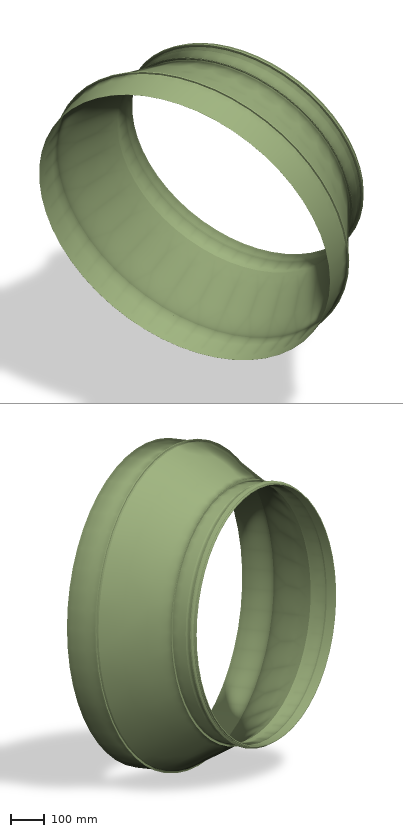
import cadquery as cq

total_length = 397.0
sheet = 0.6

wide_outer = 1001.0
cone_wide_rim = 1012.0
wide_fold_outer = 1015.0
wide_joint_y = 105.0
wide_fold_length = 3.0

wide_stub_length = 7.0
narrow_stub_length = 6.0

narrow_outer = 799.0
cone_narrow_rim = 809.0
collar_narrow_rim = 813.0
narrow_joint_y = 313.0
seat_outer = 795.0
step_start_y = 359.0
step_end_y = 365.0
narrow_fold_length = 6.0

seal_shoulder = 802.0
seal_lip = 813.0
seal_length = 17.0
seal_lip_width = 4.0
seal_shoulder_length = 3.0


def bore_of(outer_diameter):
    """Inner diameter of a sheet-metal tube."""
    return outer_diameter - 2 * sheet


def ring(points):
    """Solid of revolution around Y from a closed profile of (diameter, Y) points."""
    outline = [(diameter / 2, y) for diameter, y in points]
    return cq.Workplane("XY").polyline(outline).close().revolve(360, (0, 0), (0, 1))


def make_wide_collar():
    """Straight tube with an outward flange whose edge folds over the rim of the cone's flange."""
    flange_end = wide_joint_y + sheet
    fold_end = wide_joint_y + wide_fold_length
    return ring([
        (bore_of(wide_outer), 0),
        (wide_outer, 0),
        (wide_outer, wide_joint_y),
        (wide_fold_outer, wide_joint_y),
        (wide_fold_outer, fold_end),
        (cone_wide_rim, fold_end),
        (cone_wide_rim, flange_end),
        (bore_of(wide_outer), flange_end),
    ])


def make_cone():
    """Conical shell with a straight stub and an outward flange at each end."""
    start = wide_joint_y + sheet
    wide_bend = start + wide_stub_length
    narrow_bend = narrow_joint_y - narrow_stub_length
    return ring([
        (bore_of(wide_outer), start),
        (cone_wide_rim, start),
        (cone_wide_rim, start + sheet),
        (wide_outer, start + sheet),
        (wide_outer, wide_bend),
        (narrow_outer, narrow_bend),
        (narrow_outer, narrow_joint_y - sheet),
        (cone_narrow_rim, narrow_joint_y - sheet),
        (cone_narrow_rim, narrow_joint_y),
        (bore_of(narrow_outer), narrow_joint_y),
        (bore_of(narrow_outer), narrow_bend),
        (bore_of(wide_outer), wide_bend),
    ])


def make_narrow_collar():
    """Flanged tube that steps down to the seal seat and folds back outside it at the mouth."""
    fold_start = total_length - narrow_fold_length
    return ring([
        (bore_of(narrow_outer), narrow_joint_y),
        (collar_narrow_rim, narrow_joint_y),
        (collar_narrow_rim, narrow_joint_y + sheet),
        (narrow_outer, narrow_joint_y + sheet),
        (narrow_outer, step_start_y),
        (seat_outer, step_end_y),
        (seat_outer, total_length - sheet),
        (bore_of(narrow_outer), total_length - sheet),
        (bore_of(narrow_outer), fold_start),
        (narrow_outer, fold_start),
        (narrow_outer, total_length),
        (bore_of(seat_outer), total_length),
        (bore_of(seat_outer), step_end_y),
        (bore_of(narrow_outer), step_start_y),
    ])


def make_seal():
    """Seal with its base clamped inside the fold and a tapered lip beside the fold."""
    lip_start = total_length - seal_length
    shoulder_end = total_length - narrow_fold_length
    return ring([
        (seat_outer, lip_start),
        (seal_lip, lip_start),
        (seal_lip, lip_start + seal_lip_width),
        (seal_shoulder, shoulder_end - seal_shoulder_length),
        (seal_shoulder, shoulder_end),
        (bore_of(narrow_outer), shoulder_end),
        (bore_of(narrow_outer), total_length - sheet),
        (seat_outer, total_length - sheet),
    ])


wide_collar = make_wide_collar()
cone = make_cone()
narrow_collar = make_narrow_collar()
seal = make_seal()

result = cq.Compound.makeCompound([
    wide_collar.val(),
    cone.val(),
    narrow_collar.val(),
    seal.val(),
])